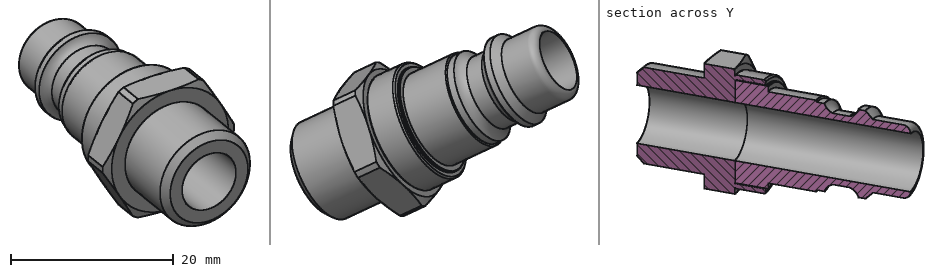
import cadquery as cq
import math

total_length = 36.5
bore_diameter = 7.85

tip_radius = 10.0 / 2
tip_rounding = 1.0
tip_length = 5.0
collar_radius = 12.0 / 2
collar_slope = collar_radius - tip_radius
first_collar_width = 0.95
neck_radius = 9.75 / 2
neck_flank = collar_radius - neck_radius
neck_flank_radius = 1.82
neck_length = 2.25
second_collar_end = 12.5
stem_radius = 12.5 / 2
stem_slope_length = 0.1
flange_radius = 14.0 / 2
flange_chamfer = 0.09
flange_start = 18.98

housing_start = 19.27
socket_diameter = 14.05
housing_radius = 15.5 / 2
housing_front_chamfer = 0.22
housing_rear_chamfer = 0.15
hex_start = 23.45
hex_width = 4.12
hex_flats = 17.0
hex_corner_radius = 19.15 / 2
hex_chamfer_depth = 0.4
spigot_radius = 13.15 / 2
spigot_chamfer = 0.9
socket_depth = hex_start - housing_start


def revolve_about_x(profile):
    """Turn a closed X-radius profile into a solid of revolution."""
    return profile.close().revolve(360, (0, 0, 0), (1, 0, 0))


def cylinder_along_x(start, length, diameter):
    return cq.Workplane("YZ", origin=(start, 0, 0)).circle(diameter / 2).extrude(length)


def make_nipple():
    """Hollow plug with a locking groove and a flange seated in the housing."""
    first_collar_start = tip_length + collar_slope
    first_collar_end = first_collar_start + first_collar_width
    neck_start = first_collar_end + neck_flank
    neck_end = neck_start + neck_length
    second_collar_start = neck_end + neck_flank
    tip_arc_offset = tip_rounding * (1 - math.sqrt(0.5))

    profile = (
        cq.Workplane("XY")
        .lineTo(0, tip_radius - tip_rounding)
        .threePointArc((tip_arc_offset, tip_radius - tip_arc_offset), (tip_rounding, tip_radius))
        .lineTo(tip_length, tip_radius)
        .lineTo(first_collar_start, collar_radius)
        .lineTo(first_collar_end, collar_radius)
        .radiusArc((neck_start, neck_radius), -neck_flank_radius)
        .lineTo(neck_end, neck_radius)
        .radiusArc((second_collar_start, collar_radius), -neck_flank_radius)
        .lineTo(second_collar_end, collar_radius)
        .lineTo(second_collar_end + stem_slope_length, stem_radius)
        .lineTo(flange_start, stem_radius)
        .lineTo(flange_start, flange_radius - flange_chamfer)
        .lineTo(flange_start + flange_chamfer, flange_radius)
        .lineTo(hex_start, flange_radius)
        .lineTo(hex_start, 0)
    )
    return revolve_about_x(profile).cut(cylinder_along_x(0, hex_start, bore_diameter))


def make_hexagon():
    """Wrench hexagon with flats facing +Z and -Z and chamfered corners."""
    corner_diameter = hex_flats / math.cos(math.pi / 6)
    hex_end = hex_start + hex_width
    hexagon = (
        cq.Workplane("YZ", origin=(hex_start, 0, 0)).polygon(6, corner_diameter).extrude(hex_width)
    )
    corner_envelope = revolve_about_x(
        cq.Workplane("XY")
        .moveTo(hex_start, 0)
        .lineTo(hex_start, hex_flats / 2)
        .lineTo(hex_start + hex_chamfer_depth, hex_corner_radius)
        .lineTo(hex_end - hex_chamfer_depth, hex_corner_radius)
        .lineTo(hex_end, hex_flats / 2)
        .lineTo(hex_end, 0)
    )
    return hexagon.intersect(corner_envelope)


def make_housing():
    """Round collar, wrench hexagon and rear spigot, bored through and socketed at the front."""
    turned_body = revolve_about_x(
        cq.Workplane("XY")
        .moveTo(housing_start, 0)
        .lineTo(housing_start, housing_radius - housing_front_chamfer)
        .lineTo(housing_start + housing_front_chamfer, housing_radius)
        .lineTo(hex_start - housing_rear_chamfer, housing_radius)
        .lineTo(hex_start, housing_radius - housing_rear_chamfer)
        .lineTo(hex_start, spigot_radius)
        .lineTo(total_length - spigot_chamfer, spigot_radius)
        .lineTo(total_length, spigot_radius - spigot_chamfer)
        .lineTo(total_length, 0)
    )
    socket = cylinder_along_x(housing_start, socket_depth, socket_diameter)
    bore = cylinder_along_x(housing_start, total_length - housing_start, bore_diameter)
    return turned_body.union(make_hexagon()).cut(socket).cut(bore)


nipple = make_nipple()
housing = make_housing()

result = cq.Compound.makeCompound([nipple.val(), housing.val()])